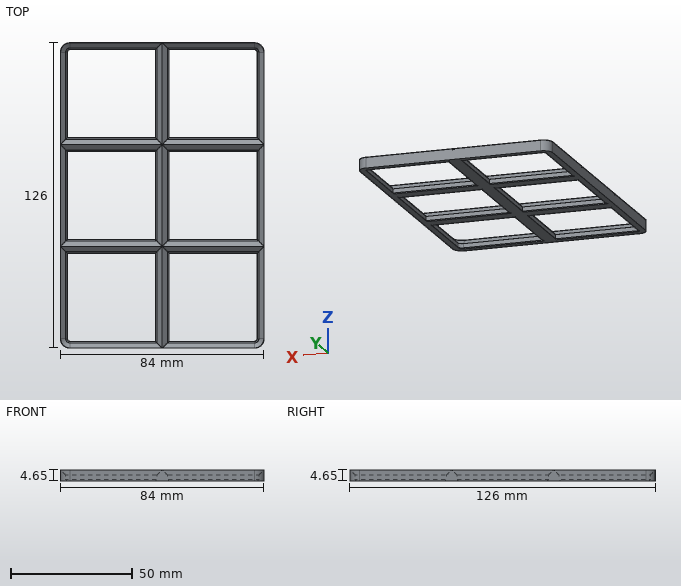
import cadquery as cq

columns = 2
rows = 3
pitch = 42.0
outer_radius = 4.0

lower_slope = 0.7
upright_height = 1.8
upper_slope = 2.15

height = lower_slope + upright_height + upper_slope
length_x = columns * pitch
length_y = rows * pitch

wall_profile = [
    (upper_slope + lower_slope, 0.0),
    (upper_slope, lower_slope),
    (upper_slope, lower_slope + upright_height),
    (0.0, height),
]


def centred_positions(count, spacing):
    """Evenly spaced coordinates, symmetric about zero."""
    return [(index - (count - 1) / 2) * spacing for index in range(count)]


def frame_block():
    """Solid plate with its four upright edges rounded."""
    plate = cq.Workplane("XY").rect(length_x, length_y).extrude(height)
    return plate.edges("|Z").fillet(outer_radius)


def pocket_section(width):
    """Cross-section points of a pocket that is `width` wide at the top."""
    right_side = [(width / 2 - wall, z) for wall, z in wall_profile]
    left_side = [(-across, z) for across, z in reversed(right_side)]
    return right_side + left_side


def pocket_trough(plane, width, length):
    """Straight void with the pocket section, centred along its length."""
    section = cq.Workplane(plane).polyline(pocket_section(width)).close()
    return section.extrude(length / 2, both=True)


def cell_pocket():
    """Sharp-cornered void of one cell: two crossing troughs intersected."""
    return pocket_trough("YZ", pitch, pitch).intersect(pocket_trough("XZ", pitch, pitch))


def corner_void():
    """Turned void that gives the wall profile along a rounded outer corner."""
    half_section = [(0.0, 0.0)]
    half_section += [(outer_radius - wall, z) for wall, z in wall_profile]
    half_section.append((0.0, height))
    return cq.Workplane("XZ").polyline(half_section).close().revolve()


def rounded_envelope():
    """Limit of all pockets: one frame-sized void with rounded corners."""
    span_x = length_x - 2 * outer_radius
    span_y = length_y - 2 * outer_radius
    envelope = pocket_trough("YZ", length_y, span_x).union(pocket_trough("XZ", length_x, span_y))
    corner = corner_void()
    for x in (-span_x / 2, span_x / 2):
        for y in (-span_y / 2, span_y / 2):
            envelope = envelope.union(corner.translate((x, y, 0)))
    return envelope


result = frame_block()
pocket = cell_pocket()
pocket_limit = rounded_envelope()
for cell_x in centred_positions(columns, pitch):
    for cell_y in centred_positions(rows, pitch):
        cell_void = pocket.translate((cell_x, cell_y, 0)).intersect(pocket_limit)
        result = result.cut(cell_void)